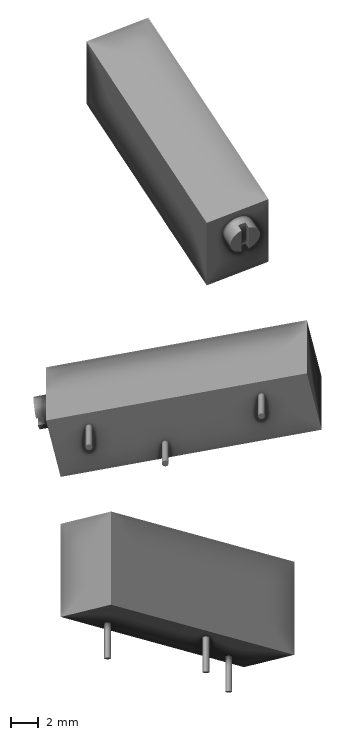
import cadquery as cq

overall_length = 20.5
body_length = 19.3
body_width = 5.0
body_height = 6.97

screw_diameter = 2.4
screw_length = overall_length - body_length
screw_drop = 1.9
slot_width = 0.6
slot_depth = 0.53

pin_diameter = 0.5
pin_length = 2.62
pin_row_spacing = 2.55
first_pin_x = 3.63
middle_pin_x = 11.3
last_pin_x = 16.38
pin_row_y = pin_row_spacing / 2
pin_positions = [
    (first_pin_x, pin_row_y),
    (middle_pin_x, -pin_row_y),
    (last_pin_x, pin_row_y),
]


def make_body():
    """Rectangular housing standing on Z = 0, with its -X end at X = 0."""
    return cq.Workplane("XY").box(body_length, body_width, body_height, centered=(False, True, False))


def make_screw():
    """Round screw head with a vertical screwdriver slot in its end."""
    axis_z = body_height - screw_drop
    head = (
        cq.Workplane("YZ", origin=(body_length, 0, axis_z))
        .circle(screw_diameter / 2)
        .extrude(screw_length)
    )
    slot = (
        cq.Workplane("YZ", origin=(body_length + screw_length, 0, axis_z))
        .rect(slot_width, screw_diameter)
        .extrude(-slot_depth)
    )
    return head.cut(slot)


def make_pins():
    """Round pins hanging from the underside of the body."""
    return (
        cq.Workplane("XY")
        .pushPoints(pin_positions)
        .circle(pin_diameter / 2)
        .extrude(-pin_length)
    )


result = make_body().union(make_screw()).union(make_pins())